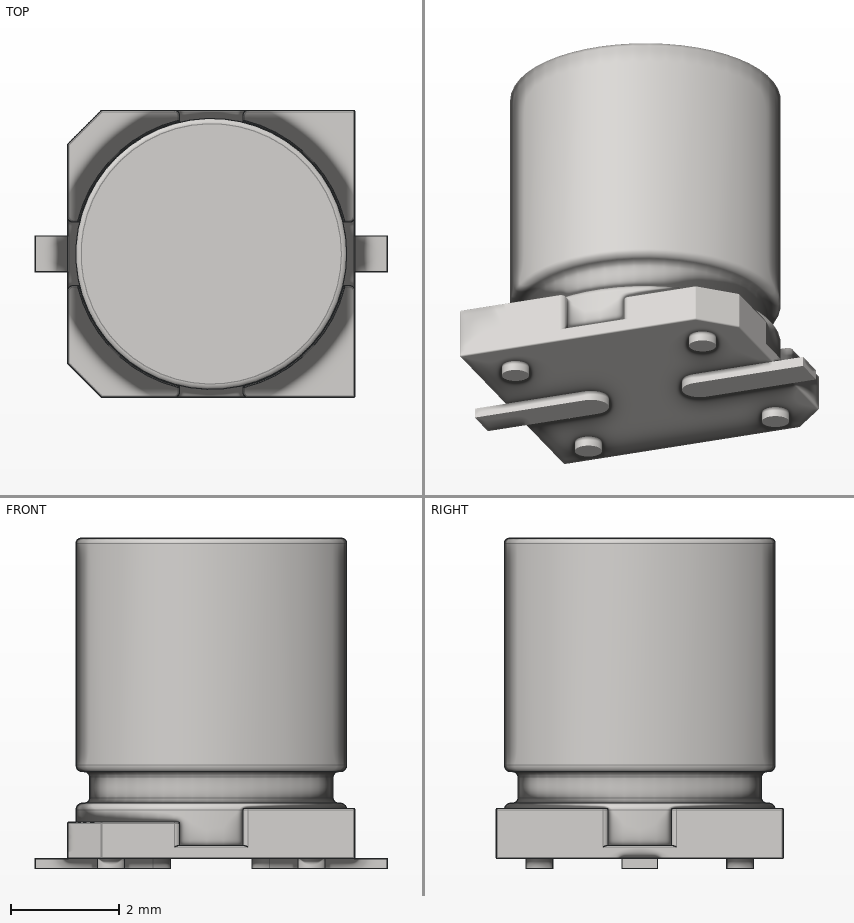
import cadquery as cq

total_length = 6.5
total_height = 6.1
base_side = 5.3

base_bottom = 0.18
notch_floor = 0.42
low_corner_top = 0.86
high_corner_top = 1.11
corner_chamfer = 0.625
notch_width = 1.17
notch_mouth_radius = 0.1
edge_round = 0.025
bore_clearance = 0.01

can_radius = 5.0 / 2
neck_radius = 4.5 / 2
can_top_round = 0.1
bead_round = 0.125
neck_round = 0.1
lower_shoulder = 1.21
upper_shoulder = 1.79

lead_width = 0.66
lead_length = 2.5
foot_diameter = 0.5
foot_offset = 1.85

half_side = base_side / 2


def base_block(top):
    """Square block with the two -X corners cut off and all but its top edges eased."""
    block = (
        cq.Workplane("XY", origin=(0, 0, base_bottom))
        .rect(base_side, base_side)
        .extrude(top - base_bottom)
        .edges("|Z and <X")
        .chamfer(corner_chamfer)
    )
    return block.edges("|Z or <Z").fillet(edge_round)


def make_floor():
    """Thin plate under the whole part, with every outer edge eased."""
    return base_block(notch_floor).faces(">Z").edges().fillet(edge_round)


def make_corner(x_side, y_side, top):
    """Corner block between two notches, with rounded notch mouths and hollowed to clear the can."""
    notch_half = notch_width / 2
    block_side = half_side - notch_half
    block_centre = notch_half + block_side / 2
    corner = (
        cq.Workplane("XY", origin=(x_side * block_centre, y_side * block_centre, base_bottom))
        .rect(block_side, block_side)
        .extrude(top - base_bottom)
    )
    mouths = ((notch_half, half_side), (half_side, notch_half))
    for mouth_x, mouth_y in mouths:
        mouth_edge = cq.selectors.NearestToPointSelector(
            (x_side * mouth_x, y_side * mouth_y, (base_bottom + top) / 2)
        )
        corner = corner.edges(mouth_edge).fillet(notch_mouth_radius)
    bore = cq.Workplane("XY", origin=(0, 0, base_bottom)).circle(can_radius + bore_clearance).extrude(top)
    corner = corner.intersect(base_block(top)).cut(bore)
    return corner.faces(">Z").edges().fillet(edge_round)


def make_can():
    """Solid can with a rolled neck groove above the base."""
    lower_bead = lower_shoulder - bead_round
    upper_bead = upper_shoulder + bead_round
    bead_radius = can_radius - bead_round
    foot_of_neck = neck_radius + neck_round
    profile = (
        cq.Workplane("XZ")
        .moveTo(0, base_bottom + edge_round)
        .lineTo(can_radius, base_bottom + edge_round)
        .lineTo(can_radius, lower_bead)
        .radiusArc((bead_radius, lower_shoulder), -bead_round)
        .lineTo(foot_of_neck, lower_shoulder)
        .radiusArc((neck_radius, lower_shoulder + neck_round), neck_round)
        .lineTo(neck_radius, upper_shoulder - neck_round)
        .radiusArc((foot_of_neck, upper_shoulder), neck_round)
        .lineTo(bead_radius, upper_shoulder)
        .radiusArc((can_radius, upper_bead), -bead_round)
        .lineTo(can_radius, total_height - can_top_round)
        .radiusArc((can_radius - can_top_round, total_height), -can_top_round)
        .lineTo(0, total_height)
        .close()
    )
    return profile.revolve(360, (0, 0), (0, 1))


def make_lead(side):
    """Flat lead with a fully rounded inner end."""
    outer_end = side * total_length / 2
    round_centre = side * (total_length / 2 - lead_length + lead_width / 2)
    tip = round_centre - side * lead_width / 2
    half_width = lead_width / 2
    return (
        cq.Workplane("XY")
        .moveTo(outer_end, -half_width)
        .lineTo(round_centre, -half_width)
        .threePointArc((tip, 0), (round_centre, half_width))
        .lineTo(outer_end, half_width)
        .close()
        .extrude(base_bottom)
    )


def make_feet():
    """Four round standoff feet under the base."""
    return (
        cq.Workplane("XY")
        .rect(2 * foot_offset, 2 * foot_offset, forConstruction=True)
        .vertices()
        .circle(foot_diameter / 2)
        .extrude(base_bottom)
    )


result = make_floor().union(make_can()).union(make_feet())
for x_side, top in ((-1, low_corner_top), (1, high_corner_top)):
    result = result.union(make_lead(x_side))
    for y_side in (-1, 1):
        result = result.union(make_corner(x_side, y_side, top))